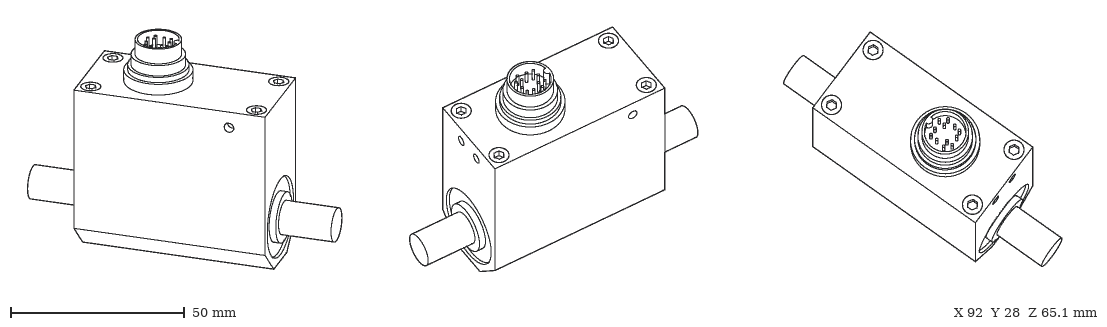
import cadquery as cq
import math


block_length = 58.0
block_width = 28.0
block_height = 52.0
housing_height = 40.0
bottom_chamfer = 8.0
axis_height = block_width / 2
block_bottom = -axis_height
cover_bottom = block_bottom + housing_height
block_top = block_bottom + block_height
cover_height = block_height - housing_height

shaft_length = 92.0
shaft_diameter = 10.0
collar_diameter = 15.0
collar_protrusion = 1.1
drum_diameter = 23.7
drum_recess = 0.9
bore_diameter = 24.0

screw_x = 25.1
screw_y = 10.1
screw_head_diameter = 5.7
counterbore_diameter = 5.8
screw_head_height = 3.0
hex_sides = 6
hex_across_flats = 2.8
hex_depth = 2.0

drill_diameter = 2.85
drill_depth = 3.0
drill_tip_angle = 118.0
drill_drop = 5.0
end_hole_y = 4.05
front_hole_x = 18.0

connector_x = -8.0
connector_steps = [(20.0, 3.4), (17.7, 1.7), (15.7, 3.3), (13.4, 4.7)]
connector_height = sum(height for _, height in connector_steps)
connector_top = block_top + connector_height
socket_diameter = 12.0
socket_depth = 4.6
socket_floor = connector_top - socket_depth
key_diameter = 2.3
key_offset = 5.9

pin_diameter = 0.76
pin_height = 3.8
pin_axis_angle = 45.0
pin_places_on_axis = [(4.1, 0.0), (4.1, 180.0)]
pin_places_beside_axis = [(4.1, 75.0), (4.1, 110.0), (3.2, 32.0), (3.5, 151.5), (2.5, 93.0)]


def x_cylinder(diameter, length):
    """Cylinder on the rotor axis, centred on X = 0."""
    return cq.Workplane("YZ").circle(diameter / 2).extrude(length / 2, both=True)


def z_cylinder(x, y, bottom, diameter, height):
    """Upright cylinder standing at a given height."""
    return cq.Workplane("XY", origin=(x, y, bottom)).circle(diameter / 2).extrude(height)


def make_housing():
    """Lower block with chamfered bottom edges and the rotor bore through it."""
    housing = (
        cq.Workplane("XY", origin=(0, 0, block_bottom))
        .rect(block_length, block_width)
        .extrude(housing_height)
        .faces("<Z")
        .edges("|X")
        .chamfer(bottom_chamfer)
    )
    return housing.cut(x_cylinder(bore_diameter, block_length))


def drilled_hole(entry, direction):
    """Blind hole with a conical tip, starting on a cover side."""
    radius = drill_diameter / 2
    tip_length = radius / math.tan(math.radians(drill_tip_angle / 2))
    straight = cq.Solid.makeCylinder(radius, drill_depth, cq.Vector(*entry), cq.Vector(*direction))
    tip_start = cq.Vector(*entry) + cq.Vector(*direction) * drill_depth
    tip = cq.Solid.makeCone(radius, 0, tip_length, tip_start, cq.Vector(*direction))
    return cq.Workplane(straight).union(cq.Workplane(tip))


def screw_clearance(x, y):
    """Thin ring-shaped gap between a screw head and its counterbore."""
    return (
        cq.Workplane("XY", origin=(x, y, block_top - screw_head_height))
        .circle(counterbore_diameter / 2)
        .circle(screw_head_diameter / 2)
        .extrude(screw_head_height)
    )


def screw_socket(x, y):
    """Hexagon socket in a screw head, with two corners along X."""
    across_corners = hex_across_flats / math.cos(math.pi / hex_sides)
    return (
        cq.Workplane("XY", origin=(x, y, block_top - hex_depth))
        .polygon(hex_sides, across_corners)
        .extrude(hex_depth)
    )


def make_cover():
    """Upper block with the four screw heads and the drilled side holes."""
    cover = (
        cq.Workplane("XY", origin=(0, 0, cover_bottom))
        .rect(block_length, block_width)
        .extrude(cover_height)
    )
    for x in (-screw_x, screw_x):
        for y in (-screw_y, screw_y):
            cover = cover.cut(screw_clearance(x, y)).cut(screw_socket(x, y))

    drill_height = block_top - drill_drop
    for y in (-end_hole_y, end_hole_y):
        cover = cover.cut(drilled_hole((-block_length / 2, y, drill_height), (1, 0, 0)))
    return cover.cut(drilled_hole((front_hole_x, -block_width / 2, drill_height), (0, 1, 0)))


def pin_places():
    """Polar places of all contact pins, both sides of the mirror axis."""
    mirrored = [(radius, -angle) for radius, angle in pin_places_beside_axis]
    return pin_places_on_axis + pin_places_beside_axis + mirrored


def make_connector():
    """Stepped round connector with an open socket, a polarising key and contact pins."""
    bottom = block_top
    steps = []
    for diameter, height in connector_steps:
        steps.append(z_cylinder(connector_x, 0, bottom, diameter, height))
        bottom += height
    connector = steps[0]
    for step in steps[1:]:
        connector = connector.union(step)

    socket = z_cylinder(connector_x, 0, socket_floor, socket_diameter, socket_depth)
    key = z_cylinder(connector_x + key_offset, 0, socket_floor, key_diameter, socket_depth)
    connector = connector.cut(socket.cut(key))

    for radius, angle in pin_places():
        direction = math.radians(pin_axis_angle + angle)
        x = connector_x + radius * math.cos(direction)
        y = radius * math.sin(direction)
        connector = connector.union(z_cylinder(x, y, socket_floor, pin_diameter, pin_height))
    return connector


def make_stator():
    """One solid of housing, cover and connector; the cover seam stays as a face boundary."""
    return make_housing().union(make_cover(), clean=False).union(make_connector(), clean=False)


def make_rotor():
    """Drum running in the bore, with a collar and a shaft end on each side."""
    drum = x_cylinder(drum_diameter, block_length - 2 * drum_recess)
    collars = x_cylinder(collar_diameter, block_length + 2 * collar_protrusion)
    shaft = x_cylinder(shaft_diameter, shaft_length)
    return drum.union(collars).union(shaft)


stator = make_stator()
rotor = make_rotor()

result = cq.Compound.makeCompound([stator.solids().val(), rotor.solids().val()])